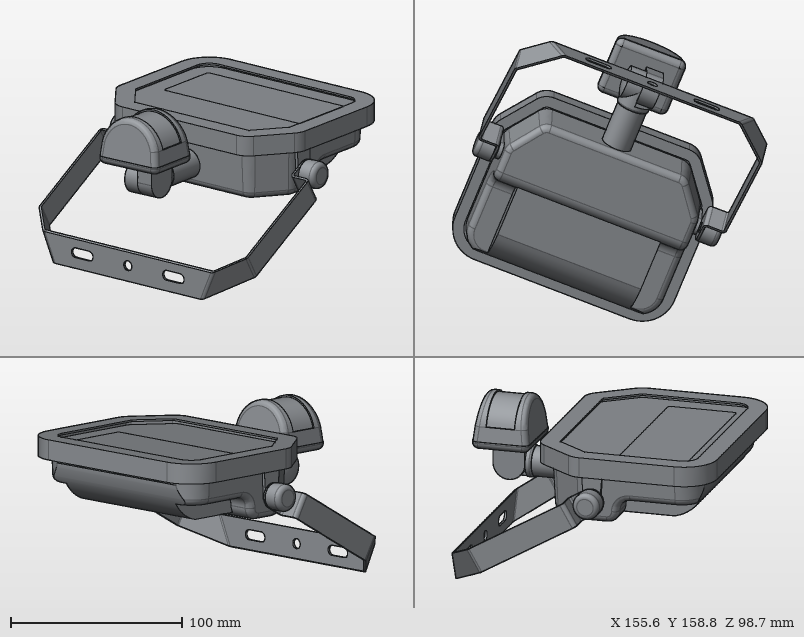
import cadquery as cq
import math


bezel_top = 27.7
bezel_bottom = 15.7
opening_half_width = 57.5
opening_rear = 60.7
opening_front = -25.6
opening_corner_radius = 8.7
chamfer_side_y = -6.0
opening_front_half_width = 42.6
bezel_width = 11.5
bezel_lip = 1.0
glass_depth = 3.8
glass_margin = 5.0
window_half_width = 50.9
window_front = 11.9
window_rear = 53.6
window_corner_radius = 1.8

housing_half_width = 61.8
housing_rear = 65.2
housing_front = -30.0
housing_front_half_width = 45.3
housing_side_y = -7.6
housing_rear_radius = 15.0
housing_front_radius = 9.0
housing_draft = 3.0
housing_bottom = -13.6
housing_edge_radius = 4.0
shelf_z = 0.8
shelf_end_y = 22.5
bulge_half_width = 45.0
bulge_bottom = -10.6
bulge_top = 13.0
bulge_rear = 64.9
bulge_middle = (60.4, -0.3)
bulge_flat_rear = 45.0
bulge_front = 5.0
lug_outer_x = 63.3
lug_root_x = 58.0
lug_half_width = 6.2
lug_end_radius = 5.0

sheet = 1.4
bracket_tilt = 30.0
bracket_half_width = 77.8
strip_width = 15.55
ear_inner_x = 64.3
flange_u = 10.4
corner_u = 77.7
arm_reach = 110.0
bracket_front = -85.6
bend_radius = 1.1
bracket_hole_diameter = 6.0
slot_length = 16.0
slot_offset_x = 34.0
hole_z = -48.8

knob_diameter = 16.09
knob_outer_x = 76.6
knob_edge_radius = 3.0
pin_diameter = 5.8

sensor_roll = 1.0
tube_diameter = 18.0
tube_root = -26.0
knuckle_radius = 9.7
knuckle_y = -66.8
knuckle_left_x = -9.6
knuckle_right_x = 10.5
knuckle_cap_height = 2.2
collar_start = -53.6
collar_edge_radius = 1.2
sensor_y = -69.1
base_half_width = 21.9
base_half_depth = 17.5
base_bottom = 10.2
base_top = 15.0
base_corner_radius = 4.0
base_edge_radius = 3.9
cover_half_width = 21.6
cover_half_depth = 17.2
cover_draft = 6.7
dome_spring_z = 24.0
dome_spring_half_width = 20.5
dome_top = 40.32
cover_edge_radius = 3.5
lens_band_width = 17.3
lens_band_depth = 1.0


def box(x0, x1, y0, y1, z0, z1):
    return cq.Workplane("XY").box(x1 - x0, y1 - y0, z1 - z0, centered=False).translate((x0, y0, z0))


def x_cylinder(radius, x0, x1, y=0.0):
    return cq.Workplane("YZ", origin=(x0, y, 0)).circle(radius).extrude(x1 - x0)


def tube_cylinder(radius, start_y, end_y):
    """Cylinder on the tube axis, running towards -Y."""
    return cq.Workplane("XZ", origin=(0, start_y, 0)).circle(radius).extrude(start_y - end_y)


def mirrored_outline(half):
    """Points of the +X half, followed by their mirror images."""
    return half + [(-x, y) for x, y in reversed(half)]


def lamp_outline(half, rear_radius, front_radius=0.0):
    """Wire of a rectangle with slanted front corners; its rear and front corners can be rounded."""
    plate = cq.Workplane("XY").polyline(mirrored_outline(half)).close().extrude(1)
    if front_radius:
        plate = plate.edges("|Z and (not >Y)").fillet(front_radius)
    plate = plate.edges("|Z and >Y").fillet(rear_radius)
    return plate.faces("<Z").wires().val()


glass_top = bezel_top - glass_depth
opening_wire = lamp_outline(
    [
        (opening_half_width, opening_rear),
        (opening_half_width, chamfer_side_y),
        (opening_front_half_width, opening_front),
    ],
    opening_corner_radius,
)


def opening_prism(margin, bottom, top):
    """Upright prism that follows the bezel opening at an even distance outside it."""
    prism = cq.Workplane("XY").add(opening_wire).toPending()
    if margin:
        prism = prism.offset2D(margin)
    return prism.extrude(top - bottom).translate((0, 0, bottom))


lip_bottom = bezel_top - bezel_lip
bezel = opening_prism(bezel_width, bezel_bottom, bezel_top)
bezel = bezel.cut(opening_prism(glass_margin, bezel_bottom, lip_bottom))
bezel = bezel.cut(opening_prism(0, lip_bottom, bezel_top))

window = box(
    -window_half_width, window_half_width, window_front, window_rear, bezel_bottom, glass_top
)
window = window.edges("|Z").fillet(window_corner_radius)
glass = opening_prism(glass_margin, bezel_bottom, glass_top).cut(window)


def housing_block():
    """Drafted block, widest under the bezel."""
    wire = lamp_outline(
        [
            (housing_half_width, housing_rear),
            (housing_half_width, housing_side_y),
            (housing_front_half_width, housing_front),
        ],
        housing_rear_radius,
        housing_front_radius,
    )
    block = cq.Workplane("XY").add(wire).toPending()
    block = block.extrude(bezel_bottom - housing_bottom, taper=housing_draft)
    return block.mirror("XY").translate((0, 0, bezel_bottom))


def shelf_cutter():
    """Space below the shallow rear part, bounded by an S-curve of two quarter arcs."""
    radius = (shelf_z - housing_bottom) / 2
    diagonal = radius * math.sqrt(0.5)
    middle_y = shelf_end_y - radius
    low_y = middle_y - radius
    middle_z = shelf_z - radius
    return (
        cq.Workplane("YZ")
        .moveTo(housing_rear, shelf_z)
        .lineTo(shelf_end_y, shelf_z)
        .threePointArc((shelf_end_y - diagonal, middle_z + diagonal), (middle_y, middle_z))
        .threePointArc((low_y + diagonal, middle_z - diagonal), (low_y, housing_bottom))
        .lineTo(housing_rear, housing_bottom)
        .close()
        .extrude(housing_half_width, both=True)
    )


def rear_bulge():
    """Narrower block under the shelf, with the rear rounding."""
    return (
        cq.Workplane("YZ")
        .moveTo(bulge_front, bulge_bottom)
        .lineTo(bulge_flat_rear, bulge_bottom)
        .threePointArc(bulge_middle, (bulge_rear, bulge_top))
        .lineTo(bulge_front, bulge_top)
        .close()
        .extrude(bulge_half_width, both=True)
    )


def rear_rounding_cutter():
    """Space behind and below the rear rounding, over the full width."""
    return (
        cq.Workplane("YZ")
        .moveTo(bulge_flat_rear, bulge_bottom)
        .threePointArc(bulge_middle, (bulge_rear, bulge_top))
        .lineTo(housing_rear, bulge_top)
        .lineTo(housing_rear, bulge_bottom)
        .close()
        .extrude(housing_half_width, both=True)
    )


def pivot_lug(side):
    """Tongue hanging from the bezel on one side wall, rounded around the tilt axis."""
    tongue = (
        cq.Workplane("YZ", origin=(lug_root_x, 0, 0))
        .moveTo(-lug_half_width, bezel_bottom)
        .lineTo(-lug_end_radius, 0)
        .threePointArc((0, -lug_end_radius), (lug_end_radius, 0))
        .lineTo(lug_half_width, bezel_bottom)
        .close()
        .extrude(lug_outer_x - lug_root_x)
    )
    return tongue if side > 0 else tongue.mirror("YZ")


def make_housing():
    body = housing_block().cut(shelf_cutter())
    underside = cq.selectors.BoxSelector(
        (-housing_half_width, housing_front, housing_bottom - 1),
        (housing_half_width, housing_rear, shelf_z + 1),
    )
    low_edges = body.edges(underside)
    rim = low_edges.edges("not |X").add(low_edges.edges("|X and (<Y or >Y)"))
    body = rim.fillet(housing_edge_radius)
    body = body.cut(rear_rounding_cutter()).union(rear_bulge())
    for side in (-1, 1):
        body = body.union(pivot_lug(side))
    return body.cut(tube_cylinder(tube_diameter / 2, tube_root, collar_start))


housing = make_housing()


tilt = math.radians(bracket_tilt)
strip_normal = cq.Vector(0, math.sin(tilt), -math.cos(tilt))


def bend_edges(block, u, x):
    """The two edges across the strip at the distance u along the arms and at -x and x."""
    y = -u * math.cos(tilt)
    z = -u * math.sin(tilt)
    near = bend_radius / 2
    edges = block.newObject([])
    for side in (-1, 1):
        spot = cq.selectors.BoxSelector(
            (side * x - near, y - near, z - near), (side * x + near, y + near, z + near)
        )
        edges = edges.add(block.edges(spot))
    return edges


def bracket_block(inset, ear_x, ear_radius, arm_radius):
    """Prism inside one skin of the bent strip; inset is the skin's depth below the outside."""
    corner_x = bracket_half_width - inset
    slant = math.cos(tilt)
    slant_angle = math.atan(slant)
    slant_start = corner_u - inset * math.tan(slant_angle / 2)
    end_x = corner_x - slant * (arm_reach - slant_start)
    half = [
        (ear_x, 0),
        (ear_x, flange_u + inset),
        (corner_x, flange_u + inset),
        (corner_x, slant_start),
        (end_x, arm_reach),
    ]
    plane = cq.Plane(origin=(0, 0, 0), xDir=(1, 0, 0), normal=strip_normal.toTuple())
    block = cq.Workplane(plane).polyline(mirrored_outline(half)).close()
    block = block.extrude(strip_width / 2, both=True)
    block = bend_edges(block, flange_u + inset, ear_x).fillet(ear_radius)
    block = bend_edges(block, flange_u + inset, corner_x).fillet(arm_radius)
    block = bend_edges(block, slant_start, corner_x).fillet(arm_radius)
    front = bracket_front + inset
    block = block.cut(box(-corner_x, corner_x, front - arm_reach, front, -arm_reach, arm_reach))
    return block.faces("<Y").edges("not |X").fillet(arm_radius)


def make_bracket():
    ear_outer_x = ear_inner_x + sheet
    outside_radius = bend_radius + sheet
    outer = bracket_block(0, ear_outer_x, bend_radius, outside_radius)
    inner = bracket_block(sheet, ear_inner_x, outside_radius, bend_radius)
    strip = outer.cut(inner)
    for side in (-1, 1):
        ends = sorted((side * ear_inner_x, side * ear_outer_x))
        strip = strip.union(x_cylinder(strip_width / 2, *ends))
    strip = strip.cut(x_cylinder(bracket_hole_diameter / 2, -bracket_half_width, bracket_half_width))
    plate = cq.Workplane("XZ", origin=(0, bracket_front + 2 * sheet, hole_z))
    strip = strip.cut(plate.circle(bracket_hole_diameter / 2).extrude(3 * sheet))
    slots = plate.pushPoints([(-slot_offset_x, 0), (slot_offset_x, 0)])
    return strip.cut(slots.slot2D(slot_length, bracket_hole_diameter).extrude(3 * sheet))


bracket = make_bracket()


def make_knob(side):
    """Round knob with a pin that passes through the bracket ear to the housing lug."""
    knob_inner_x = ear_inner_x + sheet
    knob = x_cylinder(knob_diameter / 2, knob_inner_x, knob_outer_x)
    knob = knob.faces(">X").edges().fillet(knob_edge_radius)
    knob = knob.union(x_cylinder(pin_diameter / 2, lug_outer_x, knob_inner_x))
    return knob if side > 0 else knob.mirror("YZ")


knobs = [make_knob(side) for side in (-1, 1)]


def roll(body):
    return body.rotate((0, 0, 0), (0, 1, 0), -sensor_roll)


def knuckle_cap():
    """Shallow spherical cap on the free end of the arm knuckle."""
    sphere_radius = (knuckle_radius**2 + knuckle_cap_height**2) / (2 * knuckle_cap_height)
    center_x = knuckle_left_x - knuckle_cap_height + sphere_radius
    ball = cq.Workplane("XY").sphere(sphere_radius).translate((center_x, knuckle_y, 0))
    return ball.intersect(
        x_cylinder(knuckle_radius, knuckle_left_x - knuckle_cap_height, knuckle_left_x, knuckle_y)
    )


def make_arm():
    knuckle_rear = knuckle_y + knuckle_radius
    collar = tube_cylinder(knuckle_radius, collar_start, knuckle_rear)
    collar = collar.faces(">Y").edges().fillet(collar_edge_radius)
    left_half = box(
        knuckle_left_x, 0, knuckle_y, knuckle_rear, -knuckle_radius, knuckle_radius
    )
    neck = tube_cylinder(knuckle_radius, knuckle_rear, knuckle_y).intersect(left_half)
    return (
        collar.union(tube_cylinder(tube_diameter / 2, tube_root, collar_start))
        .union(neck)
        .union(x_cylinder(knuckle_radius, knuckle_left_x, 0, knuckle_y))
        .union(knuckle_cap())
    )


def make_sensor_base():
    """Rounded tray under the sensor cover, with the knuckle that meets the arm."""
    tray = box(
        -base_half_width, base_half_width,
        sensor_y - base_half_depth, sensor_y + base_half_depth,
        base_bottom, base_top,
    )
    tray = tray.edges("|Z").fillet(base_corner_radius)
    tray = tray.faces("<Z").edges().fillet(base_edge_radius)
    riser = box(
        0, knuckle_right_x, knuckle_y - knuckle_radius, knuckle_y + knuckle_radius, 0, base_bottom
    )
    return tray.union(riser).union(x_cylinder(knuckle_radius, 0, knuckle_right_x, knuckle_y))


def dome_profile():
    """Cover section: slanted sides below an arc."""
    return (
        cq.Workplane("XZ", origin=(0, sensor_y, 0))
        .moveTo(-cover_half_width, base_top)
        .lineTo(-dome_spring_half_width, dome_spring_z)
        .threePointArc((0, dome_top), (dome_spring_half_width, dome_spring_z))
        .lineTo(cover_half_width, base_top)
        .close()
    )


def lens_band():
    """Groove over the dome that leaves a ledge on top of the slanted sides."""
    tool = (
        cq.Workplane("XZ", origin=(0, sensor_y, 0))
        .moveTo(-cover_half_width, dome_spring_z)
        .lineTo(-cover_half_width, dome_top)
        .lineTo(cover_half_width, dome_top)
        .lineTo(cover_half_width, dome_spring_z)
        .lineTo(dome_spring_half_width - lens_band_depth, dome_spring_z)
        .threePointArc((0, dome_top - lens_band_depth),
                       (lens_band_depth - dome_spring_half_width, dome_spring_z))
        .close()
    )
    return tool.extrude(lens_band_width / 2, both=True)


def make_sensor_cover():
    lean = (dome_top - base_top) * math.tan(math.radians(cover_draft))
    side_profile = [
        (sensor_y - cover_half_depth, base_top),
        (sensor_y + cover_half_depth, base_top),
        (sensor_y + cover_half_depth - lean, dome_top),
        (sensor_y - cover_half_depth + lean, dome_top),
    ]
    envelope = cq.Workplane("YZ").polyline(side_profile).close().extrude(cover_half_width, both=True)
    cover = dome_profile().extrude(cover_half_depth, both=True).intersect(envelope)
    ends = cover.faces("<Y or >Y").edges("not <Z")
    cover = ends.fillet(cover_edge_radius)
    return cover.cut(lens_band())


arm = roll(make_arm())
sensor_base = roll(make_sensor_base())
sensor_cover = roll(make_sensor_cover())

result = cq.Compound.makeCompound(
    [
        housing.val(),
        bezel.val(),
        glass.val(),
        window.val(),
        bracket.val(),
        *[knob.val() for knob in knobs],
        arm.val(),
        sensor_base.val(),
        sensor_cover.val(),
    ]
)